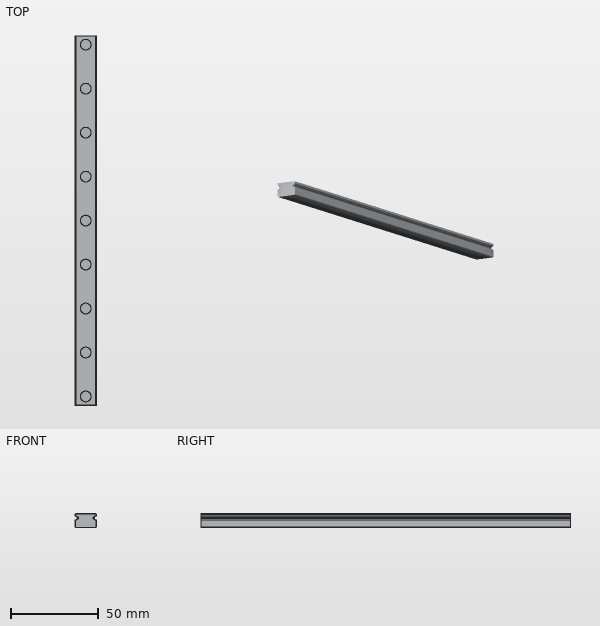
import cadquery as cq

length = 210.0
width = 12.0
height = 8.0

half_width = width / 2
edge_chamfer = 0.5

groove_depth_from_top = 2.5
groove_z = height - groove_depth_from_top
groove_radius = 1.15
relief_half_height = 0.5
relief_depth = 1.7

hole_count = 9
hole_pitch = 25.0
cap_diameter = 6.0
cap_recess = 0.2


def rail_bar():
    """Plain bar with its four long edges chamfered."""
    return (
        cq.Workplane("XY")
        .box(width, length, height, centered=(True, True, False))
        .edges("|Y")
        .chamfer(edge_chamfer)
    )


def ball_groove(side):
    """Ball groove and its relief slot, along the flank at X = side * half_width."""
    flank = cq.Workplane("XZ", origin=(side * half_width, 0, groove_z))
    trough = flank.circle(groove_radius).extrude(length / 2, both=True)
    relief = flank.rect(2 * relief_depth, 2 * relief_half_height).extrude(length / 2, both=True)
    return trough.union(relief)


def cap_recesses():
    """Shallow round recesses, evenly spaced along the centre line of the top face."""
    return (
        cq.Workplane("XY", origin=(0, 0, height - cap_recess))
        .rarray(width, hole_pitch, 1, hole_count)
        .circle(cap_diameter / 2)
        .extrude(cap_recess)
    )


result = rail_bar().cut(cap_recesses())
for side in (-1, 1):
    result = result.cut(ball_groove(side))